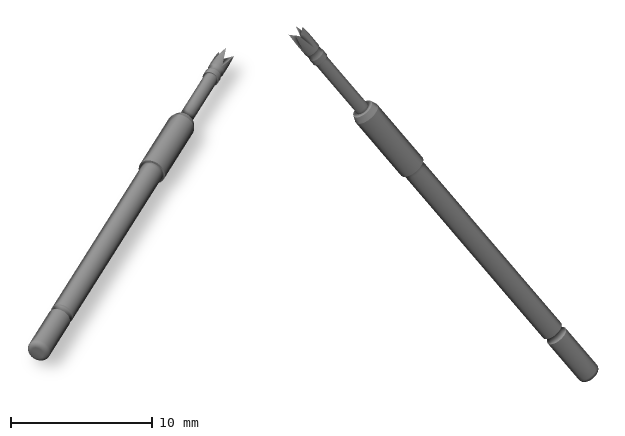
import cadquery as cq
import math

total_length = 36.3

barrel_diameter = 1.67
tail_fillet = 0.35
barrel_groove_center = 4.45
barrel_groove_width = 0.55
barrel_groove_depth = 0.15

collar_diameter = 2.0
collar_start = 22.0
collar_end = 28.05
collar_chamfer_length = 0.47
collar_chamfer_depth = 0.18

rod_diameter = 1.0

crown_diameter = 1.2
crown_length = 3.0
crown_groove_from_tip = 2.3
crown_groove_width = 0.55
crown_groove_depth = 0.055
tooth_count = 4
valley_center_depth = crown_diameter / 2
valley_rim_depth = 1.85


def cylinder(diameter, start, end):
    """Solid cylinder on the Y axis between two stations."""
    return cq.Workplane("XZ", origin=(0, start, 0)).circle(diameter / 2).extrude(start - end)


def round_groove(diameter, center, width, depth):
    """Ring with a circular-arc floor, to be cut from a cylinder of the given diameter."""
    radius = diameter / 2
    return (
        cq.Workplane("XY")
        .moveTo(radius, center - width / 2)
        .threePointArc((radius - depth, center), (radius, center + width / 2))
        .lineTo(radius + depth, center + width / 2)
        .lineTo(radius + depth, center - width / 2)
        .close()
        .revolve(360, (0, 0, 0), (0, 1, 0))
    )


def make_barrel():
    barrel = cylinder(barrel_diameter, 0, collar_start).faces("<Y").edges().fillet(tail_fillet)
    return barrel.cut(
        round_groove(barrel_diameter, barrel_groove_center, barrel_groove_width, barrel_groove_depth)
    )


def make_collar():
    collar = cylinder(collar_diameter, collar_start, collar_end)
    radius = collar_diameter / 2
    chamfer_start = collar_end - collar_chamfer_length
    bevel = (
        cq.Workplane("XY")
        .moveTo(radius, chamfer_start)
        .lineTo(radius, collar_end)
        .lineTo(radius - collar_chamfer_depth, collar_end)
        .close()
        .revolve(360, (0, 0, 0), (0, 1, 0))
    )
    return collar.cut(bevel)


def crown_notch(angle):
    """V prism whose bottom edge slopes from the axis down to the crown surface at the given angle."""
    slope = math.atan2(valley_rim_depth - valley_center_depth, crown_diameter / 2)
    outward = (math.cos(angle), math.sin(angle))
    valley_direction = (
        outward[0] * math.cos(slope),
        -math.sin(slope),
        outward[1] * math.cos(slope),
    )
    sideways = (outward[1], 0, -outward[0])
    apex = (0, total_length - valley_center_depth, 0)

    half_pitch = math.pi / tooth_count
    ridge_rise = valley_center_depth / (crown_diameter / 2)
    ridge_side = math.sin(half_pitch)
    ridge_height = math.cos(half_pitch) * math.sin(slope) + ridge_rise * math.cos(slope)
    height = crown_length
    half_width = height * ridge_side / ridge_height

    plane = cq.Plane(origin=apex, xDir=sideways, normal=valley_direction)
    return (
        cq.Workplane(plane)
        .polyline([(0, 0), (half_width, height), (-half_width, height)])
        .close()
        .extrude(crown_length, both=True)
    )


def make_crown():
    crown = cylinder(crown_diameter, total_length - crown_length, total_length)
    crown = crown.cut(
        round_groove(
            crown_diameter,
            total_length - crown_groove_from_tip,
            crown_groove_width,
            crown_groove_depth,
        )
    )
    for index in range(tooth_count):
        crown = crown.cut(crown_notch((index + 0.5) * 2 * math.pi / tooth_count))
    return crown


rod = cylinder(rod_diameter, collar_end, total_length - crown_length)
result = make_barrel().union(make_collar()).union(rod).union(make_crown())